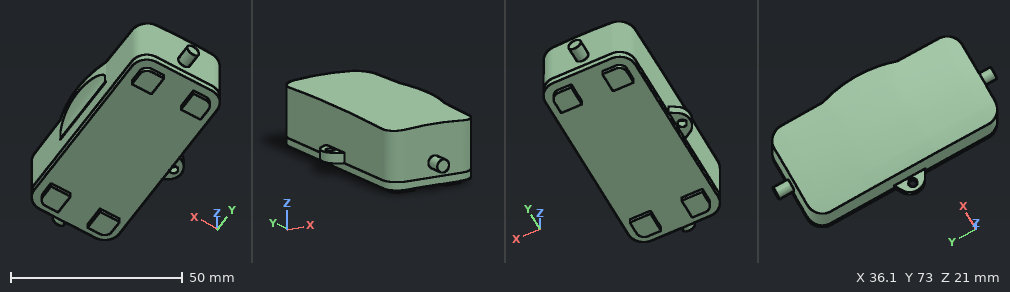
import cadquery as cq
import math

BOX_WIDTH = 29.5
BOX_LENGTH = 63.1
CORNER_RADIUS = 5.1
TOTAL_HEIGHT = 21.0
WALL_X = BOX_WIDTH / 2

FOOT_HEIGHT = 1.5
PLATE_THICKNESS = 2.5
FOOT_SIDE = 6.8
FOOT_INSET = 2.85
FOOT_CORNER_RADIUS = 2.5
PLATE_TOP = FOOT_HEIGHT + PLATE_THICKNESS

CROWN_DROP_X = 0.95
CROWN_DROP_Y = 0.8

PIN_DIAMETER = 4.0
PIN_SPAN = 73.0
PIN_Z = 8.55

LUG_RADIUS = 4.5
LUG_FLANK_ANGLE = math.radians(30)
LUG_THICKNESS = 3.15
LUG_HOLE_DIAMETER = 2.6
LUG_HOLE_OFFSET = 1.8

LIP_REACH = 2.05
LIP_CHORD = 25.0
LIP_EDGE_Z = 17.45
LIP_SCOOP_RADIUS = 6.65
LIP_ROOT = 0.15
LIP_BOTTOM_Z = 10.15


def arc_radius(chord, rise):
    """Radius of the arc that rises this far over this chord."""
    return (chord**2 / 4 + rise**2) / (2 * rise)


def rounded_block(bottom, height):
    """Block with the plan of the box, its four vertical edges rounded."""
    return (
        cq.Workplane("XY")
        .workplane(offset=bottom)
        .rect(BOX_WIDTH, BOX_LENGTH)
        .extrude(height)
        .edges("|Z")
        .fillet(CORNER_RADIUS)
    )


def crown():
    """Barrel around an axis along Y; its upper surface is the crowned top."""
    axis_z = TOTAL_HEIGHT - arc_radius(BOX_WIDTH, CROWN_DROP_X)
    half_length = PIN_SPAN / 2
    end_z = TOTAL_HEIGHT - CROWN_DROP_Y * (PIN_SPAN / BOX_LENGTH) ** 2
    return (
        cq.Workplane("YZ")
        .moveTo(-half_length, axis_z)
        .lineTo(-half_length, end_z)
        .threePointArc((0, TOTAL_HEIGHT), (half_length, end_z))
        .lineTo(half_length, axis_z)
        .close()
        .revolve(360, (0, axis_z), (1, axis_z))
    )


def finger_lip():
    """Bowed lip on the +X wall, scooped out underneath, its top left above the crown."""
    half_chord = LIP_CHORD / 2
    bow = (
        cq.Workplane("XY")
        .workplane(offset=LIP_BOTTOM_Z)
        .moveTo(0, -half_chord)
        .lineTo(WALL_X, -half_chord)
        .threePointArc((WALL_X + LIP_REACH, 0), (WALL_X, half_chord))
        .lineTo(0, half_chord)
        .close()
        .extrude(TOTAL_HEIGHT - LIP_BOTTOM_Z)
    )
    root_x = WALL_X + LIP_ROOT
    scoop_angle = math.acos(1 - (LIP_REACH - LIP_ROOT) / LIP_SCOOP_RADIUS)
    tangent_z = LIP_EDGE_Z - LIP_SCOOP_RADIUS * math.sin(scoop_angle)
    scoop_middle = (
        root_x + LIP_SCOOP_RADIUS * (1 - math.cos(scoop_angle / 2)),
        tangent_z + LIP_SCOOP_RADIUS * math.sin(scoop_angle / 2),
    )
    side_profile = (
        cq.Workplane("XZ")
        .moveTo(0, LIP_BOTTOM_Z)
        .lineTo(root_x, LIP_BOTTOM_Z)
        .lineTo(root_x, tangent_z)
        .threePointArc(scoop_middle, (WALL_X + LIP_REACH, LIP_EDGE_Z))
        .lineTo(WALL_X + LIP_REACH, TOTAL_HEIGHT)
        .lineTo(0, TOTAL_HEIGHT)
        .close()
        .extrude(half_chord, both=True)
    )
    return bow.intersect(side_profile)


def eyelet_lug():
    """Round-nosed lug centred on the -X wall face, with flanks tangent to its nose."""
    tangent_x = -WALL_X - LUG_RADIUS * math.sin(LUG_FLANK_ANGLE)
    tangent_y = LUG_RADIUS * math.cos(LUG_FLANK_ANGLE)
    root_y = LUG_RADIUS / math.cos(LUG_FLANK_ANGLE)
    return (
        cq.Workplane("XY")
        .workplane(offset=PLATE_TOP)
        .moveTo(-WALL_X, root_y)
        .lineTo(tangent_x, tangent_y)
        .threePointArc((-WALL_X - LUG_RADIUS, 0), (tangent_x, -tangent_y))
        .lineTo(-WALL_X, -root_y)
        .close()
        .moveTo(-WALL_X - LUG_HOLE_OFFSET, 0)
        .circle(LUG_HOLE_DIAMETER / 2)
        .extrude(LUG_THICKNESS)
    )


def pivot_pins():
    """Both pins as one rod along Y, which merges into the cover between the end walls."""
    return (
        cq.Workplane("XZ")
        .center(0, PIN_Z)
        .circle(PIN_DIAMETER / 2)
        .extrude(PIN_SPAN / 2, both=True)
    )


def make_cover():
    """Crowned cover with its finger lip, eyelet lug and pivot pins."""
    block = rounded_block(PLATE_TOP, TOTAL_HEIGHT - PLATE_TOP)
    return block.union(finger_lip()).intersect(crown()).union(eyelet_lug()).union(pivot_pins())


def make_base():
    """Flat base plate with a square foot, rounded on its outer edge, at each corner."""
    base = rounded_block(FOOT_HEIGHT, PLATE_THICKNESS)
    foot_x = WALL_X - FOOT_INSET - FOOT_SIDE / 2
    foot_y = BOX_LENGTH / 2 - FOOT_INSET - FOOT_SIDE / 2
    for side_x in (-1, 1):
        for side_y in (-1, 1):
            outer_edge = f"{'>' if side_x > 0 else '<'}X and {'>' if side_y > 0 else '<'}Y"
            foot = (
                cq.Workplane("XY")
                .center(side_x * foot_x, side_y * foot_y)
                .rect(FOOT_SIDE, FOOT_SIDE)
                .extrude(FOOT_HEIGHT)
                .edges("|Z")
                .edges(outer_edge)
                .fillet(FOOT_CORNER_RADIUS)
            )
            base = base.union(foot)
    return base


cover = make_cover()
base = make_base()

result = cq.Compound.makeCompound([cover.val(), base.val()])